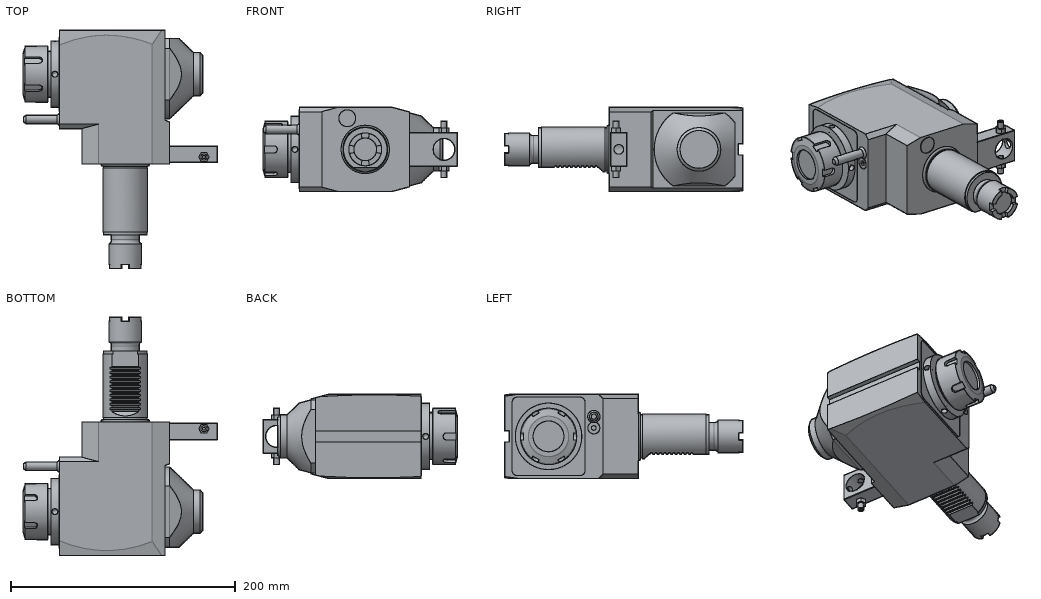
import cadquery as cq
import math


HOUSING_HEIGHT = 75.0
HALF_HEIGHT = HOUSING_HEIGHT / 2
HOUSING_BACK = 119.0
HOUSING_LEFT = -58.5
HOUSING_RIGHT = 35.5
SHOULDER_FRONT = 31.3
NOSE_HALF_WIDTH = 39.5
NOSE_LEFT = -38.6
NOSE_BACK = 39.0
RELIEF_DEPTH = 1.6
SIDE_SLOPE = math.tan(math.radians(15))
SIDE_BEVEL_START = 24.0
FRONT_BEVEL = 4.1
CROWN_RADIUS = 730.0
CROWN_SLOPE = math.radians(8)
CROWN_X = -16.5
CROWN_Y = 114.6
KEYWAY_WIDTH = 9.8
KEYWAY_DEPTH = 4.0
ROUND_RECESS_X = -16.0
ROUND_RECESS_Z = 27.7
ROUND_RECESS_RADIUS = 7.5
ROUND_RECESS_DEPTH = 0.5

SPINDLE_Y = 79.9
PLATE_THICKNESS = 0.3
PLATE_Y = (47.3, 112.4)
PLATE_HEIGHT = 70.0
PLATE_CORNER = 5.0
FLANGE_RADIUS = 29.6
FLANGE_FACE = -66.2
FLANGE_HOLE_RADIUS = 2.6
FLANGE_HOLE_DEPTH = 5.0
FLANGE_HOLE_X = -62.6
FLANGE_HOLE_COUNT = 4
DRILL_TIP = 1.5
NECK_RADIUS = 20.6
NUT_RADIUS = 25.1
NUT_BACK = -68.6
NUT_SHOULDER = -89.1
NUT_SHOULDER_RADIUS = 24.3
NUT_TIP = -91.0
NUT_FACE_RADIUS = 18.0
NUT_BACK_CHAMFER = 0.7
NUT_BORE_RADIUS = 13.7
NUT_BORE_DEPTH = 2.0
NUT_SLOT_WIDTH = 6.4
NUT_SLOT_END = -78.2
NUT_LONG_SLOT_END = -73.7
NUT_SLOT_ANGLES = (0, 60, 120, 180)
NUT_LONG_SLOT_ANGLES = (240, 300)
NUT_SLOT_FLOOR = 22.2

PIPE_Y = 39.6
PIPE_Z = 17.6
PIPE_RADIUS = 3.9
PIPE_TIP_RADIUS = 2.3
PIPE_TIP = -90.5
PIPE_TIP_LENGTH = 2.4
PIPE_COLLAR_RADIUS = 5.5
PIPE_COLLAR_LENGTH = 2.0
SCREW_Z = 7.5
SCREW_RADIUS = 5.3
SCREW_HEAD_HEIGHT = 0.2
SCREW_HEX_ACROSS_CORNERS = 4.6
SCREW_HEX_DEPTH = 2.5

COVER_RADIUS = 39.8
COVER_CONE_START = 39.5
CAP_RADIUS = 19.4
CAP_START = 60.6
CAP_END = 69.0
CAP_CHAMFER = 2.6
COVER_HALF_HEIGHT = 32.5
COVER_TOP_Y = 111.8

BRACKET_END = 82.1
BRACKET_FRONT = 1.2
BRACKET_BACK = 16.0
BRACKET_HALF_HEIGHT = 15.0
BRACKET_EDGE = 0.4
BRACKET_HOLE_X = 70.0
BRACKET_HOLE_RADIUS = 9.6
END_HOLE_RADIUS = 4.3
SET_SCREW_Y = 6.2
SET_SCREW_RADIUS = 2.7
SET_SCREW_TOP = 25.1
SET_SCREW_HEX = 2.9
SET_SCREW_HEX_DEPTH = 2.5
SET_SCREW_TIP = 10.0
LOCK_NUT_HEIGHT = 4.2
LOCK_NUT_ACROSS_CORNERS = 9.2

COLLAR_RADIUS = 21.5
COLLAR_LENGTH = 2.0
COLLAR_ROUND = 1.5
SHANK_RADIUS = 20.0
SHANK_STEP_RADIUS = 19.4
SHANK_START = -3.6
SHANK_STEP = -60.3
SHANK_END = -63.0
TENON_NECK_RADIUS = 12.5
TENON_FLARE = -67.3
TENON_START = -71.0
TENON_RADIUS = 14.6
TENON_END = -93.0
TENON_BORE_RADIUS = 10.1
TENON_BORE_DEPTH = 3.7
TENON_SLOT_DEPTH = 3.5
TENON_SLOT_OUTER_WIDTH = 7.5
TENON_SLOT_INNER_WIDTH = 5.7
TENON_SLOT_COUNT = 4
RACK_FLAT = 16.1
RACK_ROOT = 14.7
RACK_PITCH = 4.0
RACK_COUNT = 10
RACK_FIRST = -11.6
RACK_TOP_WIDTH = 2.7
RACK_ROOT_WIDTH = 1.0
RACK_RAMP_START = -5.2

OVERLAP = 1.0


def box(x, y, z):
    """Box from three (low, high) ranges."""
    size = (x[1] - x[0], y[1] - y[0], z[1] - z[0])
    return cq.Workplane("XY").box(*size, centered=False).translate((x[0], y[0], z[0]))


def rod_x(x_low, x_high, radius, y, z=0.0):
    """Cylinder along X."""
    plane = cq.Workplane("YZ", origin=(x_low, y, z))
    return plane.circle(radius).extrude(x_high - x_low)


def spindle_revolve(points):
    """Revolve (x, radius) points about the spindle axis."""
    profile = cq.Workplane("XY", origin=(0, SPINDLE_Y, 0)).polyline(points).close()
    return profile.revolve(360, (0, 0, 0), (1, 0, 0))


def bevel_height(distance):
    """Half height of the side bevels at a distance from the shank axis."""
    return HALF_HEIGHT - SIDE_SLOPE * (distance - SIDE_BEVEL_START)


def make_shoulder():
    """Wide part: 45 degree front bevels, a 15 degree bevel along the right side."""
    bevel_z = HALF_HEIGHT - FRONT_BEVEL
    side = [
        (SHOULDER_FRONT, -bevel_z),
        (SHOULDER_FRONT + FRONT_BEVEL, -HALF_HEIGHT),
        (HOUSING_BACK, -HALF_HEIGHT),
        (HOUSING_BACK, HALF_HEIGHT),
        (SHOULDER_FRONT + FRONT_BEVEL, HALF_HEIGHT),
        (SHOULDER_FRONT, bevel_z),
    ]
    block = cq.Workplane("YZ", origin=(HOUSING_LEFT, 0, 0)).polyline(side).close()
    block = block.extrude(HOUSING_RIGHT - HOUSING_LEFT)
    right_z = bevel_height(HOUSING_RIGHT)
    front = [
        (HOUSING_LEFT, -HALF_HEIGHT),
        (SIDE_BEVEL_START, -HALF_HEIGHT),
        (HOUSING_RIGHT, -right_z),
        (HOUSING_RIGHT, right_z),
        (SIDE_BEVEL_START, HALF_HEIGHT),
        (HOUSING_LEFT, HALF_HEIGHT),
    ]
    envelope = cq.Workplane("XZ").polyline(front).close().extrude(-HOUSING_BACK)
    block = block.intersect(envelope)
    for sign in (1, -1):
        block = block.intersect(make_crown(sign))
    keyway = box(
        (HOUSING_LEFT, HOUSING_RIGHT),
        (HOUSING_BACK - KEYWAY_DEPTH, HOUSING_BACK),
        (-KEYWAY_WIDTH / 2, KEYWAY_WIDTH / 2),
    )
    return block.cut(keyway)


def make_crown(sign):
    """Large tilted cylinder limiting the top (sign 1) or the bottom (sign -1) of the shoulder."""
    reach = 2 * HOUSING_BACK
    direction = cq.Vector(0, math.cos(CROWN_SLOPE), -sign * math.sin(CROWN_SLOPE))
    drop = CROWN_RADIUS / math.cos(CROWN_SLOPE)
    crest = cq.Vector(CROWN_X, CROWN_Y, sign * (HALF_HEIGHT - drop))
    start = crest - direction * reach
    return cq.Workplane(cq.Solid.makeCylinder(CROWN_RADIUS, 2 * reach, start, direction))


def make_nose():
    """Narrow front part with 15 degree bevels on both sides."""
    left_z = bevel_height(-NOSE_LEFT)
    right_z = bevel_height(NOSE_HALF_WIDTH)
    front = [
        (NOSE_LEFT, -left_z),
        (-SIDE_BEVEL_START, -HALF_HEIGHT),
        (SIDE_BEVEL_START, -HALF_HEIGHT),
        (NOSE_HALF_WIDTH, -right_z),
        (NOSE_HALF_WIDTH, right_z),
        (SIDE_BEVEL_START, HALF_HEIGHT),
        (-SIDE_BEVEL_START, HALF_HEIGHT),
        (NOSE_LEFT, left_z),
    ]
    block = cq.Workplane("XZ").polyline(front).close().extrude(-NOSE_BACK)
    relief = [
        (HOUSING_RIGHT, NOSE_BACK),
        (NOSE_HALF_WIDTH, NOSE_BACK - RELIEF_DEPTH),
        (NOSE_HALF_WIDTH, NOSE_BACK),
    ]
    relief = cq.Workplane("XY", origin=(0, 0, -HALF_HEIGHT)).polyline(relief).close()
    block = block.cut(relief.extrude(HOUSING_HEIGHT))
    recess = cq.Workplane("XZ", origin=(ROUND_RECESS_X, 0, ROUND_RECESS_Z)).circle(ROUND_RECESS_RADIUS)
    return block.cut(recess.extrude(-ROUND_RECESS_DEPTH))


def make_plate():
    """Thin raised pad with rounded corners around the spindle."""
    pad = box(
        (HOUSING_LEFT - PLATE_THICKNESS, HOUSING_LEFT + OVERLAP),
        PLATE_Y,
        (-PLATE_HEIGHT / 2, PLATE_HEIGHT / 2),
    )
    return pad.edges("|X").fillet(PLATE_CORNER)


def make_flange():
    """Spindle flange with four radial spanner holes."""
    flange = rod_x(FLANGE_FACE, HOUSING_LEFT + OVERLAP, FLANGE_RADIUS, SPINDLE_Y)
    floor = FLANGE_RADIUS - FLANGE_HOLE_DEPTH
    profile = [
        (0, floor - DRILL_TIP),
        (FLANGE_HOLE_RADIUS, floor),
        (FLANGE_HOLE_RADIUS, FLANGE_RADIUS + OVERLAP),
        (0, FLANGE_RADIUS + OVERLAP),
    ]
    drill = cq.Workplane("XZ").polyline(profile).close().revolve(360, (0, 0, 0), (0, 1, 0))
    drill = drill.translate((FLANGE_HOLE_X, SPINDLE_Y, 0))
    for index in range(FLANGE_HOLE_COUNT):
        flange = flange.cut(turn_about_spindle(drill, index * 360 / FLANGE_HOLE_COUNT))
    return flange


def turn_about_spindle(shape, angle):
    """Rotate a shape about the spindle axis by an angle in degrees."""
    return shape.rotate((0, SPINDLE_Y, 0), (1, SPINDLE_Y, 0), angle)


def make_collet_nut():
    """Slotted clamping nut and the neck behind it."""
    nut = spindle_revolve([
        (FLANGE_FACE + OVERLAP, 0),
        (FLANGE_FACE + OVERLAP, NECK_RADIUS),
        (NUT_BACK, NECK_RADIUS),
        (NUT_BACK, NUT_RADIUS - NUT_BACK_CHAMFER),
        (NUT_BACK - NUT_BACK_CHAMFER, NUT_RADIUS),
        (NUT_SHOULDER, NUT_RADIUS),
        (NUT_SHOULDER, NUT_SHOULDER_RADIUS),
        (NUT_TIP, NUT_FACE_RADIUS),
        (NUT_TIP, NUT_BORE_RADIUS),
        (NUT_TIP + NUT_BORE_DEPTH, NUT_BORE_RADIUS),
        (NUT_TIP + NUT_BORE_DEPTH, 0),
    ])
    short_slot = make_nut_slot(NUT_SLOT_END)
    for angle in NUT_SLOT_ANGLES:
        nut = nut.cut(turn_about_spindle(short_slot, angle))
    long_slot = make_nut_slot(NUT_LONG_SLOT_END)
    for angle in NUT_LONG_SLOT_ANGLES:
        nut = nut.cut(turn_about_spindle(long_slot, angle))
    return nut


def make_nut_slot(slot_end):
    """Cutter for a round-ended wrench slot on the -Y side of the nut."""
    half_width = NUT_SLOT_WIDTH / 2
    slot = cq.Workplane("XZ", origin=(0, SPINDLE_Y - NUT_SLOT_FLOOR, 0))
    slot = slot.moveTo(NUT_TIP, -half_width).lineTo(slot_end - half_width, -half_width)
    slot = slot.threePointArc((slot_end, 0), (slot_end - half_width, half_width))
    return slot.lineTo(NUT_TIP, half_width).close().extrude(NUT_RADIUS)


def make_coolant_pipe():
    """Pipe with a tapered tip and a tapered collar at the housing."""
    profile = [
        (PIPE_TIP, 0),
        (PIPE_TIP, PIPE_TIP_RADIUS),
        (PIPE_TIP + PIPE_TIP_LENGTH, PIPE_RADIUS),
        (HOUSING_LEFT - PIPE_COLLAR_LENGTH, PIPE_RADIUS),
        (HOUSING_LEFT, PIPE_COLLAR_RADIUS),
        (HOUSING_LEFT + OVERLAP, PIPE_COLLAR_RADIUS),
        (HOUSING_LEFT + OVERLAP, 0),
    ]
    pipe = cq.Workplane("XY").polyline(profile).close().revolve(360, (0, 0, 0), (1, 0, 0))
    return pipe.translate((0, PIPE_Y, PIPE_Z))


def make_side_screw():
    """Nearly flush screw head beside the coolant pipe."""
    return rod_x(HOUSING_LEFT - SCREW_HEAD_HEIGHT, HOUSING_LEFT + OVERLAP, SCREW_RADIUS, PIPE_Y, SCREW_Z)


def make_side_screw_socket():
    """Hexagonal recess in the side screw, one corner pointing up."""
    plane = cq.Workplane("YZ", origin=(HOUSING_LEFT - SCREW_HEAD_HEIGHT, PIPE_Y, SCREW_Z))
    socket = plane.polygon(6, SCREW_HEX_ACROSS_CORNERS).extrude(SCREW_HEX_DEPTH)
    return socket.rotate((0, PIPE_Y, SCREW_Z), (1, PIPE_Y, SCREW_Z), 90)


def make_rear_cover():
    """Conical cover behind the spindle, flattened above, below and at the back."""
    cover = spindle_revolve([
        (HOUSING_RIGHT - OVERLAP, 0),
        (HOUSING_RIGHT - OVERLAP, COVER_RADIUS),
        (COVER_CONE_START, COVER_RADIUS),
        (CAP_START, CAP_RADIUS),
        (CAP_END - CAP_CHAMFER, CAP_RADIUS),
        (CAP_END, CAP_RADIUS - CAP_CHAMFER),
        (CAP_END, 0),
    ])
    end_z = COVER_HALF_HEIGHT - SIDE_SLOPE * (CAP_END - COVER_CONE_START)
    outline = [
        (HOUSING_RIGHT - OVERLAP, -COVER_HALF_HEIGHT),
        (COVER_CONE_START, -COVER_HALF_HEIGHT),
        (CAP_END, -end_z),
        (CAP_END, end_z),
        (COVER_CONE_START, COVER_HALF_HEIGHT),
        (HOUSING_RIGHT - OVERLAP, COVER_HALF_HEIGHT),
    ]
    envelope = cq.Workplane("XZ").polyline(outline).close().extrude(-COVER_TOP_Y)
    return cover.intersect(envelope)


def make_bracket():
    """Bracket with a cross hole, an end hole and two locked set screws."""
    bracket = box(
        (NOSE_HALF_WIDTH - OVERLAP, BRACKET_END),
        (BRACKET_FRONT, BRACKET_BACK),
        (-BRACKET_HALF_HEIGHT, BRACKET_HALF_HEIGHT),
    )
    bracket = bracket.edges("|X or >X").chamfer(BRACKET_EDGE)
    end_hole = rod_x(BRACKET_HOLE_X, BRACKET_END, END_HOLE_RADIUS, (BRACKET_FRONT + BRACKET_BACK) / 2)
    bracket = bracket.cut(end_hole)
    hole = cq.Workplane("XZ", origin=(BRACKET_HOLE_X, 0, 0)).circle(BRACKET_HOLE_RADIUS)
    bracket = bracket.cut(hole.extrude(-BRACKET_BACK))
    screw_hole = cq.Workplane("XY", origin=(BRACKET_HOLE_X, SET_SCREW_Y, 0)).circle(SET_SCREW_RADIUS)
    bracket = bracket.cut(screw_hole.extrude(BRACKET_HALF_HEIGHT, both=True))
    for sign in (1, -1):
        bracket = bracket.union(make_set_screw(sign))
    return bracket


def make_set_screw(sign):
    """Set screw and lock nut above (sign 1) or below (sign -1) the bracket."""
    plane = cq.Workplane("XY", origin=(BRACKET_HOLE_X, SET_SCREW_Y, 0))
    lock_nut = plane.workplane(offset=BRACKET_HALF_HEIGHT).polygon(6, LOCK_NUT_ACROSS_CORNERS)
    lock_nut = lock_nut.extrude(LOCK_NUT_HEIGHT)
    screw = plane.workplane(offset=SET_SCREW_TIP).circle(SET_SCREW_RADIUS)
    screw = screw.extrude(SET_SCREW_TOP - SET_SCREW_TIP)
    socket = cq.Workplane("XY", origin=(BRACKET_HOLE_X, SET_SCREW_Y, SET_SCREW_TOP))
    socket = socket.polygon(6, SET_SCREW_HEX).extrude(-SET_SCREW_HEX_DEPTH)
    screw = lock_nut.union(screw).cut(socket)
    return screw if sign > 0 else screw.mirror("XY")


def make_shank():
    """Collar, cylindrical shank and drive tenon along -Y, with a rack below."""
    flare_middle = (
        TENON_NECK_RADIUS + (TENON_RADIUS - TENON_NECK_RADIUS) * (1 - math.cos(math.pi / 4)),
        TENON_FLARE + (TENON_START - TENON_FLARE) * math.sin(math.pi / 4),
    )
    profile = cq.Workplane("XY").moveTo(0, OVERLAP).lineTo(COLLAR_RADIUS, OVERLAP)
    profile = profile.lineTo(COLLAR_RADIUS, COLLAR_ROUND - COLLAR_LENGTH)
    profile = profile.radiusArc((COLLAR_RADIUS - COLLAR_ROUND, -COLLAR_LENGTH), COLLAR_ROUND)
    profile = profile.lineTo(SHANK_STEP_RADIUS, -COLLAR_LENGTH).lineTo(SHANK_STEP_RADIUS, SHANK_START)
    profile = profile.lineTo(SHANK_RADIUS, SHANK_START).lineTo(SHANK_RADIUS, SHANK_STEP)
    profile = profile.lineTo(SHANK_STEP_RADIUS, SHANK_STEP).lineTo(SHANK_STEP_RADIUS, SHANK_END)
    profile = profile.lineTo(TENON_NECK_RADIUS, SHANK_END).lineTo(TENON_NECK_RADIUS, TENON_FLARE)
    profile = profile.threePointArc(flare_middle, (TENON_RADIUS, TENON_START))
    profile = profile.lineTo(TENON_RADIUS, TENON_END).lineTo(0, TENON_END).close()
    shank = profile.revolve(360, (0, 0, 0), (0, 1, 0))
    return shank.cut(make_rack_cut()).cut(make_tenon_cut())


def make_rack_cut():
    """Flat below the shank with a 45 degree run-in and evenly pitched tooth gaps."""
    ramp_end = RACK_RAMP_START - (SHANK_RADIUS - RACK_FLAT)
    half_length = SHANK_RADIUS
    flat = [
        (RACK_RAMP_START, -SHANK_RADIUS),
        (ramp_end, -RACK_FLAT),
        (SHANK_END, -RACK_FLAT),
        (SHANK_END, -SHANK_RADIUS),
    ]
    plane = cq.Workplane("YZ", origin=(-half_length, 0, 0))
    cut = plane.polyline(flat).close().extrude(2 * half_length)
    for index in range(RACK_COUNT):
        y = RACK_FIRST - index * RACK_PITCH
        gap = [
            (y + RACK_TOP_WIDTH / 2, -RACK_FLAT),
            (y + RACK_ROOT_WIDTH / 2, -RACK_ROOT),
            (y - RACK_ROOT_WIDTH / 2, -RACK_ROOT),
            (y - RACK_TOP_WIDTH / 2, -RACK_FLAT),
        ]
        cut = cut.union(plane.polyline(gap).close().extrude(2 * half_length))
    return cut


def make_tenon_cut():
    """End recess of the tenon and its four drive slots, narrowing inward."""
    plane = cq.Workplane("XZ", origin=(0, TENON_END, 0))
    cut = plane.circle(TENON_BORE_RADIUS).extrude(-TENON_BORE_DEPTH)
    inner = TENON_SLOT_INNER_WIDTH / 2
    outer = TENON_SLOT_OUTER_WIDTH / 2
    inner_z = math.sqrt(TENON_BORE_RADIUS**2 - inner**2)
    outline = [(-inner, inner_z - OVERLAP), (-inner, inner_z), (-outer, TENON_RADIUS),
               (outer, TENON_RADIUS), (inner, inner_z), (inner, inner_z - OVERLAP)]
    slot = plane.polyline(outline).close().extrude(-TENON_SLOT_DEPTH)
    for index in range(TENON_SLOT_COUNT):
        cut = cut.union(slot.rotate((0, 0, 0), (0, 1, 0), index * 360 / TENON_SLOT_COUNT))
    return cut


result = (
    make_shoulder()
    .union(make_nose())
    .union(make_plate())
    .union(make_flange())
    .union(make_collet_nut())
    .union(make_side_screw())
    .cut(make_side_screw_socket())
    .union(make_coolant_pipe())
    .union(make_rear_cover())
    .union(make_bracket())
    .union(make_shank())
)